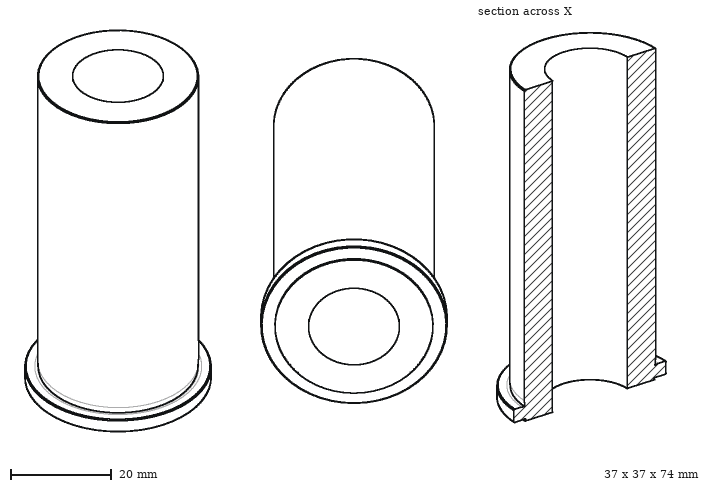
import cadquery as cq

total_height = 74.0
flange_radius = 18.5
body_radius = 16.0
bore_radius = 9.0

spigot_radius = 15.7
spigot_height = 0.45
flange_top = 3.5
edge_chamfer = 0.2
end_chamfer = 0.2

relief_depth = 0.15
relief_top = 4.7
relief_outer_radius = 16.6


def make_outer_body():
    """Revolve the solid spigot, flange and body about the Z axis."""
    profile = [
        (0, 0),
        (spigot_radius, 0),
        (spigot_radius, spigot_height),
        (flange_radius - edge_chamfer, spigot_height),
        (flange_radius, spigot_height + edge_chamfer),
        (flange_radius, flange_top - edge_chamfer),
        (flange_radius - edge_chamfer, flange_top),
        (body_radius, flange_top),
        (body_radius, total_height - end_chamfer),
        (body_radius - end_chamfer, total_height),
        (0, total_height),
    ]
    return cq.Workplane("XZ").polyline(profile).close().revolve(360, (0, 0, 0), (0, 1, 0))


def make_corner_relief():
    """Ring that undercuts both the body and the flange face, running out in slopes."""
    relief_radius = body_radius - relief_depth
    relief_floor = flange_top - relief_depth
    profile = [
        (relief_radius, relief_floor),
        (body_radius, relief_floor),
        (relief_outer_radius, flange_top),
        (body_radius, flange_top),
        (body_radius, relief_top),
    ]
    return cq.Workplane("XZ").polyline(profile).close().revolve(360, (0, 0, 0), (0, 1, 0))


bore = cq.Workplane("XY").circle(bore_radius).extrude(total_height)

result = make_outer_body().cut(make_corner_relief()).cut(bore)